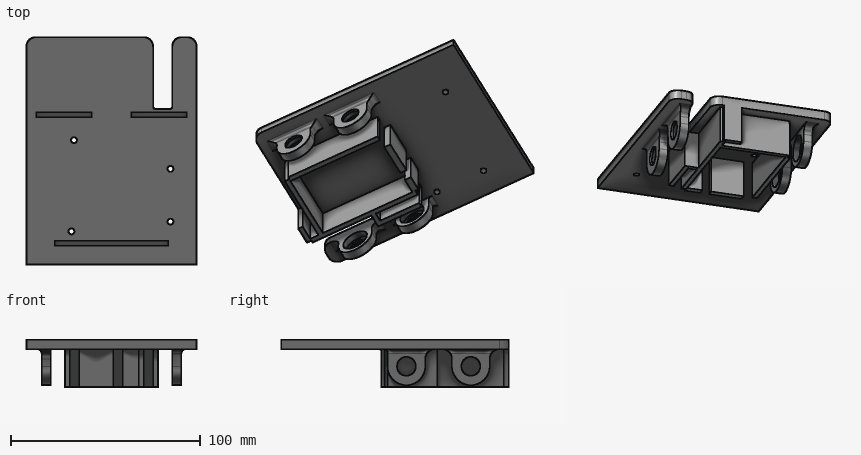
import cadquery as cq
import math


plate_width = 90.0
plate_length = 120.1
plate_thickness = 5.0
corner_radius = 5.0

notch_width = 10.0
notch_length = 37.8
notch_x = 27.0
notch_corner_radius = 1.0

groove_width = 2.6
groove_depth = 3.0
rear_groove_x = 25.0
rear_groove_y = 79.2
rear_groove_length = 29.3
grooves = [
    (-rear_groove_x, rear_groove_y, rear_groove_length),
    (rear_groove_x, rear_groove_y, rear_groove_length),
    (0, 11.4, 59.7),
]

screw_hole_diameter = 3.0
screw_hole_points = [(-19.8, 65.7), (31.1, 50.6), (31.1, 22.7), (-21.1, 17.5)]

ear_thickness = 4.9
ear_inner_x = notch_x + notch_width / 2
ear_radius = 10.0
ear_hole_diameter = 10.0
ear_hole_drop = 9.0
ear_pitch = 34.0
rear_ear_inset = 20.1
rear_ear_y = plate_length - rear_ear_inset
front_ear_y = rear_ear_y - ear_pitch
ear_counterbore_diameter = 14.0
ear_counterbore_depth = 3.7
ear_end_fillet = 5.0
ear_small_fillet = 2.0
fillet_bend = 1 - math.sqrt(0.5)
ears = [
    (-1, front_ear_y, ear_end_fillet),
    (-1, rear_ear_y, ear_end_fillet),
    (1, front_ear_y, ear_small_fillet),
    (1, rear_ear_y, ear_end_fillet),
]

wall_height = 20.0
wall_thickness = 2.6
channel_gap = 4.9
holder_half_width = 24.6
channel_outer = holder_half_width - wall_thickness
channel_inner = channel_outer - channel_gap
rear_wall_front = plate_length - wall_thickness
cross_wall_back = rear_wall_front - channel_gap
cross_wall_front = cross_wall_back - wall_thickness
front_wall_front = 52.7
front_wall_back = 56.3
front_gap_left = 1.0
front_gap_right = front_gap_left + channel_gap
inner_wall_left = channel_inner - wall_thickness
rear_wall_right = channel_inner - wall_thickness / 2
right_stop_back = plate_length - notch_length


def box_between(x_range, y_range, z_range):
    """Box spanning the given (low, high) ranges."""
    lows, highs = zip(x_range, y_range, z_range)
    sizes = [high - low for low, high in zip(lows, highs)]
    return cq.Workplane("XY").box(*sizes, centered=False).translate(lows)


def make_plate():
    notch_left = notch_x - notch_width / 2
    notch_right = notch_x + notch_width / 2
    notch_end = plate_length - notch_length
    half_width = plate_width / 2
    outline = [
        (-half_width, 0),
        (half_width, 0),
        (half_width, plate_length),
        (notch_right, plate_length),
        (notch_right, notch_end),
        (notch_left, notch_end),
        (notch_left, plate_length),
        (-half_width, plate_length),
    ]
    plate = cq.Workplane("XY").polyline(outline).close().extrude(plate_thickness)
    plate = plate.faces(">Y").edges("|Z").fillet(corner_radius)
    notch_corners = cq.selectors.BoxSelector(
        (notch_left - notch_corner_radius, notch_end - notch_corner_radius, 0),
        (notch_right + notch_corner_radius, notch_end + notch_corner_radius, plate_thickness),
    )
    return plate.edges("|Z").edges(notch_corners).fillet(notch_corner_radius)


def make_ear(outward, y, front_fillet):
    """Round-ended ear flared into the plate; outward is -1 or 1 along X."""
    flare_width = ear_thickness + ear_small_fillet
    front_bend = front_fillet * fillet_bend
    rear_bend = ear_end_fillet * fillet_bend
    face_bend = ear_small_fillet * fillet_bend
    tip_drop = ear_hole_drop + ear_radius

    side_shape = (
        cq.Workplane("YZ")
        .moveTo(-ear_radius - front_fillet, 0)
        .threePointArc((-ear_radius - front_bend, -front_bend), (-ear_radius, -front_fillet))
        .lineTo(-ear_radius, -ear_hole_drop)
        .threePointArc((0, -tip_drop), (ear_radius, -ear_hole_drop))
        .lineTo(ear_radius, -ear_end_fillet)
        .threePointArc((ear_radius + rear_bend, -rear_bend), (ear_radius + ear_end_fillet, 0))
        .close()
        .extrude(flare_width)
    )
    cross_section = (
        cq.Workplane("XZ")
        .lineTo(flare_width, 0)
        .threePointArc((ear_thickness + face_bend, -face_bend), (ear_thickness, -ear_small_fillet))
        .lineTo(ear_thickness, -tip_drop)
        .lineTo(0, -tip_drop)
        .close()
        .extrude(ear_radius + ear_end_fillet, both=True)
    )
    hole_plane = cq.Workplane("YZ").center(0, -ear_hole_drop)
    hole = hole_plane.circle(ear_hole_diameter / 2).extrude(flare_width)
    counterbore = hole_plane.circle(ear_counterbore_diameter / 2).extrude(ear_counterbore_depth)
    ear = side_shape.intersect(cross_section).cut(hole).cut(counterbore)
    if outward < 0:
        ear = ear.mirror("YZ")
    return ear.translate((outward * ear_inner_x, y, 0))


def make_walls():
    """Thin uprights of the holder, with open channels between them."""
    below = (-wall_height, 0)
    wall_middle = (front_wall_front + front_wall_back) / 2
    left_middle = -holder_half_width + wall_thickness / 2
    footprints = [
        ((-holder_half_width, -channel_outer), (front_wall_back, cross_wall_front)),
        ((-channel_inner, front_gap_left), (front_wall_front, front_wall_back)),
        ((front_gap_right, inner_wall_left), (front_wall_front, front_wall_back)),
        ((left_middle, inner_wall_left), (cross_wall_front, cross_wall_back)),
        ((inner_wall_left, channel_inner), (wall_middle, rear_wall_front)),
        ((channel_outer, holder_half_width), (front_wall_back, right_stop_back)),
        ((channel_inner, channel_outer), (right_stop_back - wall_thickness, right_stop_back)),
        ((front_gap_right, rear_wall_right), (rear_wall_front, plate_length)),
    ]
    return [box_between(x_range, y_range, below) for x_range, y_range in footprints]


result = make_plate()

for wall in make_walls():
    result = result.union(wall)

for outward, ear_y, front_fillet in ears:
    result = result.union(make_ear(outward, ear_y, front_fillet))

for groove_x, groove_y, groove_length in grooves:
    groove = box_between(
        (groove_x - groove_length / 2, groove_x + groove_length / 2),
        (groove_y - groove_width / 2, groove_y + groove_width / 2),
        (plate_thickness - groove_depth, plate_thickness),
    )
    result = result.cut(groove)

screw_holes = (
    cq.Workplane("XY")
    .pushPoints(screw_hole_points)
    .circle(screw_hole_diameter / 2)
    .extrude(plate_thickness)
)
result = result.cut(screw_holes)